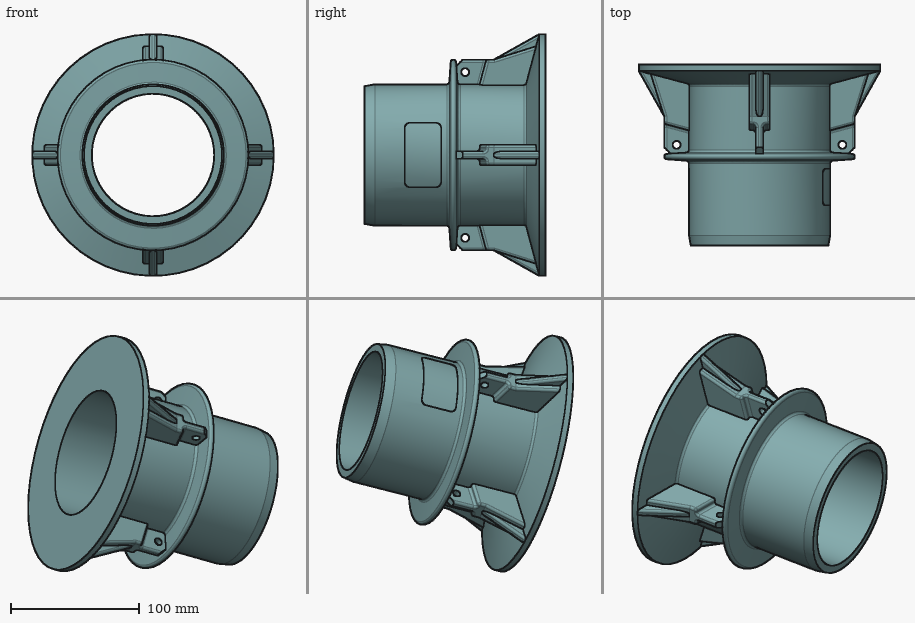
import cadquery as cq
import math


length = 141.0
tube_radius = 110.0 / 2
rim_radius = 188.0 / 2
rim_thickness = 5.0
cone_angle = 15.0
root_fillet = 2.0

flange_radius = 74.2
flange_mid_depth = 71.75
flange_edge_round = 2.2
flange_face_taper = 4.0

lead_in_length = 8.0
lead_in_radius = 53.6
rim_bore_radius = 100.0 / 2
spigot_bore_radius = 95.0 / 2
spigot_bore_length = 60.0

pad_height = 0.2
pad_width = 50.0
pad_start_depth = 81.3
pad_length = 28.3
pad_corner = 4.0

fin_count = 4
fin_radius = flange_radius
fin_inner_radius = rim_bore_radius
blade_thickness = 6.0
blade_corner_depth = 40.3
fin_corner = (fin_radius, -blade_corner_depth)
blade_chamfer_depth = 64.4
wedge_width = 16.0
wedge_slope = 17.5
wedge_end_depth = 46.2
wedge_end_angle = 15.0
fin_fillet = 2.0
fin_hole_diameter = 6.0
fin_hole_radius = 64.4
fin_hole_depth = 62.6

pick_margin = 0.01


def slope(angle):
    return math.tan(math.radians(angle))


def tube_circle(depth):
    """Selects the circular edge on the outside of the tube at one depth."""
    reach = tube_radius + pick_margin
    return cq.selectors.BoxSelector(
        (-reach, -depth - pick_margin, -reach),
        (reach, -depth + pick_margin, reach),
        boundingbox=True,
    )


def make_tube_blank():
    """Outside of the tube, without its bore."""
    cone_foot = rim_thickness + (rim_radius - tube_radius) * slope(cone_angle)
    taper = math.radians(flange_face_taper)
    round_center = flange_radius - flange_edge_round
    tangent_radius = round_center + flange_edge_round * math.sin(taper)
    tangent_half = flange_edge_round * math.cos(taper)
    root_half = tangent_half + (tangent_radius - tube_radius) * math.tan(taper)
    blank = (
        cq.Workplane("XY")
        .lineTo(rim_radius, 0)
        .lineTo(rim_radius, -rim_thickness)
        .lineTo(tube_radius, -cone_foot)
        .lineTo(tube_radius, -(flange_mid_depth - root_half))
        .lineTo(tangent_radius, -(flange_mid_depth - tangent_half))
        .threePointArc(
            (flange_radius, -flange_mid_depth),
            (tangent_radius, -(flange_mid_depth + tangent_half)),
        )
        .lineTo(tube_radius, -(flange_mid_depth + root_half))
        .lineTo(tube_radius, -(length - lead_in_length))
        .lineTo(lead_in_radius, -length)
        .lineTo(0, -length)
        .close()
        .revolve(360, (0, 0), (0, 1))
    )
    root_depths = (cone_foot, flange_mid_depth - root_half, flange_mid_depth + root_half)
    for depth in root_depths:
        blank = blank.edges(tube_circle(depth)).fillet(root_fillet)
    return blank


def cylinder(radius, depth):
    """Cylinder on the tube axis, from the rim face down to a depth."""
    return cq.Workplane("XZ").circle(radius).extrude(depth)


def label_pad():
    """Rounded rectangle wrapped on the spigot, centered on +X."""
    block = (
        cq.Workplane("YZ")
        .center(-(pad_start_depth + pad_length / 2), 0)
        .rect(pad_length, pad_width)
        .extrude(rim_radius)
        .edges("|X")
        .fillet(pad_corner)
    )
    sleeve = cylinder(tube_radius + pad_height, length)
    return block.intersect(sleeve)


def make_tube(blank):
    tube = blank.union(label_pad())
    tube = tube.cut(cylinder(spigot_bore_radius, length))
    return tube.cut(cylinder(rim_bore_radius, length - spigot_bore_length))


def plate(outline, thickness):
    """Flat plate of the given outline, centered on the XY plane."""
    return cq.Workplane("XY").polyline(outline).close().extrude(thickness / 2, both=True)


def along(radial_run, depth_run):
    """Selects the edges that run in one direction in the plane of the fin."""
    return cq.selectors.ParallelDirSelector(cq.Vector(radial_run, depth_run, 0))


def fin_base():
    """Wedge beside the rim and the thin tail behind it, with blended edges."""
    wedge_length = blade_corner_depth - rim_thickness
    wedge_rise = wedge_length * slope(wedge_slope)
    end_width = fin_radius - fin_inner_radius
    end_drop = end_width * slope(wedge_end_angle)
    wedge = plate(
        [
            (fin_inner_radius, -rim_thickness),
            (fin_radius + wedge_rise, -rim_thickness),
            fin_corner,
            (fin_radius, -wedge_end_depth),
            (fin_inner_radius, -(wedge_end_depth + end_drop)),
        ],
        wedge_width,
    )
    chamfer = flange_mid_depth - blade_chamfer_depth
    tail = plate(
        [
            (fin_inner_radius, -blade_corner_depth),
            fin_corner,
            (fin_radius, -blade_chamfer_depth),
            (fin_radius - chamfer, -flange_mid_depth),
            (fin_inner_radius, -flange_mid_depth),
        ],
        blade_thickness,
    )
    base = wedge.union(tail)
    base = base.edges(along(end_width, end_drop)).fillet(fin_fillet)
    outer_edges = cq.selectors.BoxSelector(
        (fin_radius - pick_margin, -blade_chamfer_depth + pick_margin, -wedge_width),
        (fin_radius + pick_margin, -blade_corner_depth - pick_margin, wedge_width),
    )
    return base.edges(outer_edges + along(wedge_rise, wedge_length)).fillet(fin_fillet)


def fin_blade():
    """Thin web that rises over the wedge up to the rim."""
    blade = plate(
        [
            (fin_inner_radius, -rim_thickness),
            (rim_radius, -rim_thickness),
            fin_corner,
            (fin_inner_radius, -blade_corner_depth),
        ],
        blade_thickness,
    )
    edge_run = along(rim_radius - fin_radius, blade_corner_depth - rim_thickness)
    return blade.edges(edge_run).fillet(fin_fillet)


def fin_hole():
    return (
        cq.Workplane("XY")
        .center(fin_hole_radius, -fin_hole_depth)
        .circle(fin_hole_diameter / 2)
        .extrude(blade_thickness, both=True)
    )


def make_fin(blank):
    """Fin on the +X side; it is trimmed to the outside of the tube."""
    return fin_base().union(fin_blade()).cut(fin_hole()).cut(blank)


tube_blank = make_tube_blank()
tube = make_tube(tube_blank)
first_fin = make_fin(tube_blank)
fins = []
for index in range(fin_count):
    fin = first_fin.rotate((0, 0, 0), (0, 1, 0), index * 360 / fin_count)
    fins.append(fin.solids().val())

result = cq.Compound.makeCompound([tube.solids().val(), *fins])